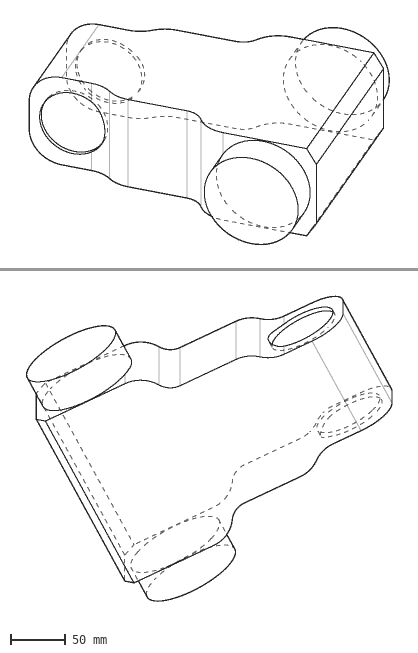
import cadquery as cq
import math

length = 296.0
height = 94.0
nose_width = 99.8
middle_width = 130.5
rear_width = 180.0
nose_radius = 32.0

nose_flare_start = 61.0
rear_flare_start = 160.0
flare_radius = 32.0
rear_flare_hollow_radius = 20.0

chamfer_length = 9.5
chamfer_height = 15.0

trunnion_diameter = 92.0
trunnion_span = 244.0
trunnion_x = 244.0

recess_diameter = 65.0
recess_x = 43.0
recess_depth = 4.0


def flare_points(start_x, start_y, end_y, hollow_radius, crown_radius):
    """Middle of the hollow arc, inflection, middle of the crown arc, and end of a flare."""
    radius_sum = hollow_radius + crown_radius
    sweep = math.acos(1 - (end_y - start_y) / radius_sum)
    end_x = start_x + radius_sum * math.sin(sweep)

    def on_hollow(angle):
        return (start_x + hollow_radius * math.sin(angle),
                start_y + hollow_radius * (1 - math.cos(angle)))

    def on_crown(angle):
        return (end_x - crown_radius * math.sin(angle),
                end_y - crown_radius * (1 - math.cos(angle)))

    return on_hollow(sweep / 2), on_hollow(sweep), on_crown(sweep / 2), (end_x, end_y)


def half_plan():
    """Half of the plan outline, closed along the centre line."""
    nose_y = nose_width / 2
    middle_y = middle_width / 2
    rear_y = rear_width / 2
    nose_flare = flare_points(nose_flare_start, nose_y, middle_y, flare_radius, flare_radius)
    rear_flare = flare_points(rear_flare_start, middle_y, rear_y, rear_flare_hollow_radius, flare_radius)
    return (
        cq.Workplane("XY", origin=(0, 0, -height / 2))
        .moveTo(0, 0)
        .lineTo(0, nose_y)
        .lineTo(nose_flare_start, nose_y)
        .threePointArc(nose_flare[0], nose_flare[1])
        .threePointArc(nose_flare[2], nose_flare[3])
        .lineTo(rear_flare_start, middle_y)
        .threePointArc(rear_flare[0], rear_flare[1])
        .threePointArc(rear_flare[2], rear_flare[3])
        .lineTo(length, rear_y)
        .lineTo(length, 0)
        .close()
    )


def make_body():
    """Stepped block with a rounded nose and chamfered rear edges."""
    half = half_plan().extrude(height)
    block = half.union(half.mirror("XZ"))
    half_height = height / 2
    side_profile = (
        cq.Workplane("XZ")
        .moveTo(nose_radius, -half_height)
        .lineTo(length - chamfer_length, -half_height)
        .lineTo(length, -half_height + chamfer_height)
        .lineTo(length, half_height - chamfer_height)
        .lineTo(length - chamfer_length, half_height)
        .lineTo(nose_radius, half_height)
        .radiusArc((0, half_height - nose_radius), -nose_radius)
        .lineTo(0, -half_height + nose_radius)
        .radiusArc((nose_radius, -half_height), -nose_radius)
        .close()
        .extrude(rear_width / 2, both=True)
    )
    return block.intersect(side_profile)


def cross_cylinder(x, diameter, y_start, y_end):
    """Cylinder along Y between two Y positions, at mid height."""
    return (
        cq.Workplane("XZ", origin=(x, y_start, 0))
        .circle(diameter / 2)
        .extrude(y_start - y_end)
    )


result = make_body()
result = result.union(cross_cylinder(trunnion_x, trunnion_diameter, -trunnion_span / 2, trunnion_span / 2))

recess_floor = nose_width / 2 - recess_depth
for side in (-1, 1):
    recess = cross_cylinder(recess_x, recess_diameter, side * recess_floor, side * middle_width / 2)
    result = result.cut(recess)